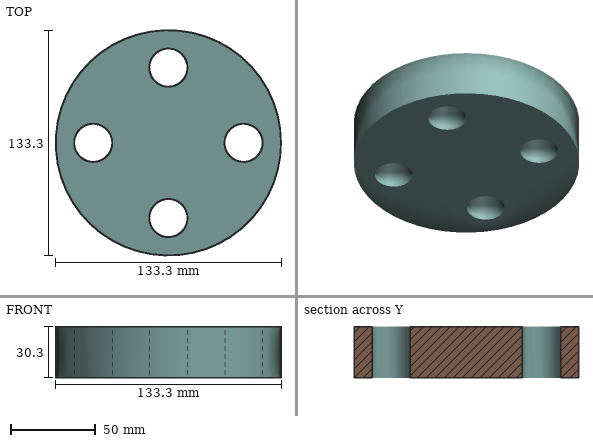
import cadquery as cq

flange_diameter = 133.3
flange_thickness = 30.3
bolt_circle_diameter = 88.9
bolt_hole_diameter = 22.4
bolt_hole_count = 4


def flange_disc():
    """Solid disc standing on the XY plane, centred on the Z axis."""
    return cq.Workplane("XY").circle(flange_diameter / 2).extrude(flange_thickness)


def drill_bolt_holes(disc):
    """Evenly spaced through holes, the first one on the +X axis."""
    return (
        disc.faces(">Z")
        .workplane()
        .polarArray(bolt_circle_diameter / 2, 0, 360, bolt_hole_count)
        .hole(bolt_hole_diameter)
    )


result = drill_bolt_holes(flange_disc())